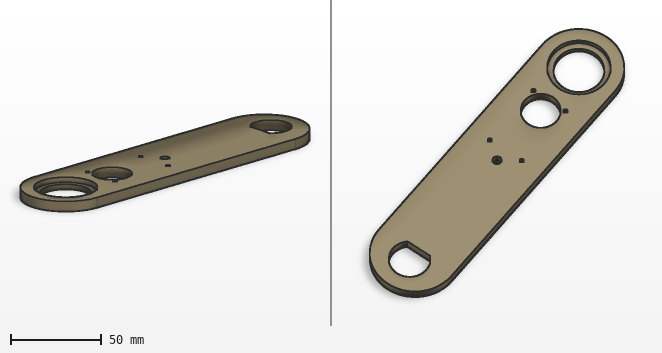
import cadquery as cq

length = 200.0
width = 50.0
thickness = 6.0
end_center = (length - width) / 2

seat_diameter = 35.0
seat_bore = 28.0
seat_depth = 3.0

d_diameter = 23.0
d_center_y = 80.0
d_flat_offset = 8.5

shaft_diameter = 22.0
shaft_center_y = -40.0
pivot_diameter = 5.0
screw_diameter = 2.5
screw_spacing_x = 22.0
screw_spacing_y = 40.0
screw_center_y = -28.0


def through_cylinder(diameter, y):
    """Cutter that passes through the whole plate on its centre line."""
    return cq.Workplane("XY").center(0, y).circle(diameter / 2).extrude(thickness)


def d_cutter():
    """Round cutter with everything beyond the flat removed."""
    kept_side = (
        cq.Workplane("XY")
        .center(0, d_center_y - d_flat_offset)
        .rect(d_diameter, d_diameter)
        .extrude(thickness)
        .translate((0, d_diameter / 2, 0))
    )
    return through_cylinder(d_diameter, d_center_y).intersect(kept_side)


def seat_cutter():
    """Through bore with a wider seat opening on the top face."""
    seat = through_cylinder(seat_diameter, -end_center)
    seat = seat.translate((0, 0, thickness - seat_depth))
    return through_cylinder(seat_bore, -end_center).union(seat)


def screw_cutter():
    """Four screw holes on a rectangular pattern."""
    return (
        cq.Workplane("XY")
        .center(0, screw_center_y)
        .rarray(screw_spacing_x, screw_spacing_y, 2, 2)
        .circle(screw_diameter / 2)
        .extrude(thickness)
    )


plate = cq.Workplane("XY").slot2D(length, width, 90).extrude(thickness)

result = (
    plate.cut(d_cutter())
    .cut(seat_cutter())
    .cut(through_cylinder(shaft_diameter, shaft_center_y))
    .cut(through_cylinder(pivot_diameter, 0))
    .cut(screw_cutter())
)